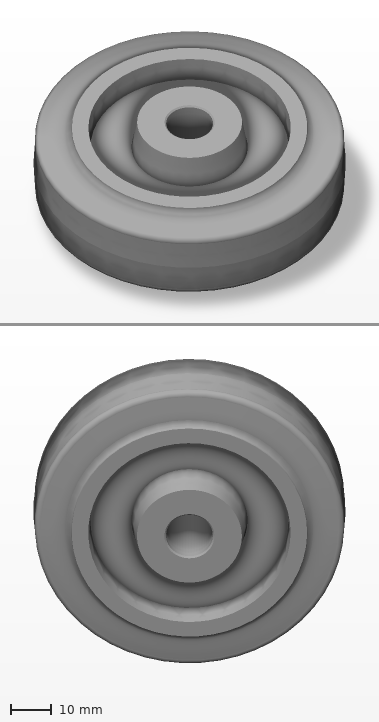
import cadquery as cq
import math


hub_half = 13.1
rim_half = 11.2
web_half = 4.9
tread_edge_z = 7.5
shoulder_z = 9.1
sidewall_z = 9.5

tread_radius = 38.1
tread_edge_radius = 37.7
shoulder_radius = 36.3
sidewall_radius = 30.2
lip_top_radius = 28.7
tyre_seat_radius = 27.0
rim_inner_radius = 24.7
web_outer_radius = 24.15
hub_base_radius = 14.2
hub_top_radius = 12.8
bushing_radius = 7.8
bore_radius = 5.7
bore_chamfer = 0.4

shoulder_bulge = 0.5
lip_bulge = 0.4


def bulged_midpoint(start, end, bulge):
    """Chord midpoint moved sideways by bulge, to the left going from start to end."""
    dx = end[0] - start[0]
    dz = end[1] - start[1]
    chord = math.hypot(dx, dz)
    mid_x = (start[0] + end[0]) / 2
    mid_z = (start[1] + end[1]) / 2
    return (mid_x - bulge * dz / chord, mid_z + bulge * dx / chord)


def mirrored(point):
    """Reflect a profile point (radius, height) in the mid-plane."""
    return (point[0], -point[1])


def revolve_profile(profile):
    """Turn a closed (radius, height) profile around the Z axis."""
    return profile.close().revolve(360, (0, 0, 0), (0, 1, 0))


def make_tyre():
    """Tyre with a ridged tread, sloping sidewalls and a raised lip beside the rim."""
    tread_edge = (tread_edge_radius, tread_edge_z)
    shoulder = (shoulder_radius, shoulder_z)
    sidewall = (sidewall_radius, sidewall_z)
    lip_top = (lip_top_radius, rim_half)
    shoulder_mid = bulged_midpoint(shoulder, tread_edge, shoulder_bulge)
    lip_mid = bulged_midpoint(lip_top, sidewall, -lip_bulge)

    profile = (
        cq.Workplane("XZ")
        .moveTo(tyre_seat_radius, rim_half)
        .lineTo(*lip_top)
        .threePointArc(lip_mid, sidewall)
        .lineTo(*shoulder)
        .threePointArc(shoulder_mid, tread_edge)
        .lineTo(tread_radius, 0)
        .lineTo(*mirrored(tread_edge))
        .threePointArc(mirrored(shoulder_mid), mirrored(shoulder))
        .lineTo(*mirrored(sidewall))
        .threePointArc(mirrored(lip_mid), mirrored(lip_top))
        .lineTo(tyre_seat_radius, -rim_half)
    )
    return revolve_profile(profile)


def make_wheel():
    """Rim, web and tapered hub, with a through hole for the bushing."""
    upper = [
        (bushing_radius, hub_half),
        (hub_top_radius, hub_half),
        (hub_base_radius, web_half),
        (web_outer_radius, web_half),
        (rim_inner_radius, rim_half),
        (tyre_seat_radius, rim_half),
    ]
    lower = [mirrored(point) for point in reversed(upper)]
    return revolve_profile(cq.Workplane("XZ").polyline(upper + lower))


def make_bushing():
    """Plain sleeve, flush with the hub, with chamfered bore ends."""
    upper = [
        (bore_radius, hub_half - bore_chamfer),
        (bore_radius + bore_chamfer, hub_half),
        (bushing_radius, hub_half),
    ]
    lower = [mirrored(point) for point in reversed(upper)]
    return revolve_profile(cq.Workplane("XZ").polyline(upper + lower))


tyre = make_tyre()
wheel = make_wheel()
bushing = make_bushing()

result = cq.Compound.makeCompound([tyre.val(), wheel.val(), bushing.val()])